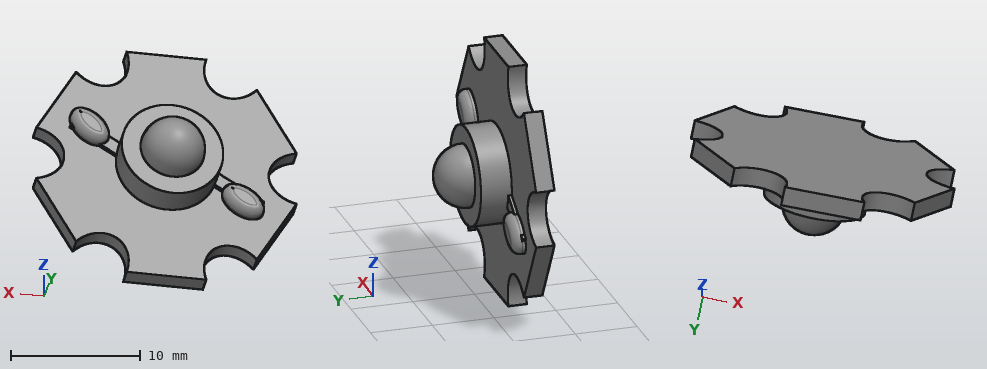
import cadquery as cq
import math

BOARD_ACROSS_FLATS = 20.0
BOARD_THICKNESS = 1.5
CORNER_COUNT = 6
NOTCH_CENTER_RADIUS = 10.99
NOTCH_RADIAL_SEMI_AXIS = 2.95
NOTCH_TANGENTIAL_SEMI_AXIS = 2.37

OVERALL_DEPTH = 6.5
BODY_RADIUS = 3.99
BODY_HEIGHT = 2.5
DOME_RADIUS = OVERALL_DEPTH - BOARD_THICKNESS - BODY_HEIGHT

LEAD_ANGLE = 31.5
LEAD_REACH = 7.85
LEAD_WIDTH = 1.06
LEAD_OFFSET = 1.23
LEAD_THICKNESS = 0.29

BEAD_LONG_SEMI_AXIS = 1.82
BEAD_SHORT_SEMI_AXIS = 1.15
BEAD_EDGE_RADIUS = 0.72
BEAD_HEIGHT = 0.98
BEADS = [(-5.97, -2.72, 35), (6.1, 2.7, 45)]

OVERLAP = 0.2


def plane_at(y):
    """Plane facing +Y whose local axes are world Z and X."""
    return cq.Workplane(cq.Plane(origin=(0, y, 0), xDir=(0, 0, 1), normal=(0, 1, 0)))


def turn_about_y(solid, angle):
    """Turn a solid about the Y axis, positive from +X towards +Z."""
    return solid.rotate((0, 0, 0), (0, 1, 0), -angle)


def board():
    corner_diameter = BOARD_ACROSS_FLATS / math.cos(math.pi / CORNER_COUNT)
    plate = plane_at(0).polygon(CORNER_COUNT, corner_diameter).extrude(BOARD_THICKNESS)
    plate = turn_about_y(plate, 180 / CORNER_COUNT)
    notch = (
        plane_at(0)
        .center(0, NOTCH_CENTER_RADIUS)
        .ellipse(NOTCH_TANGENTIAL_SEMI_AXIS, NOTCH_RADIAL_SEMI_AXIS)
        .extrude(BOARD_THICKNESS)
    )
    for corner in range(CORNER_COUNT):
        plate = plate.cut(turn_about_y(notch, corner * 360 / CORNER_COUNT))
    return plate


def lamp():
    """Round body and dome, turned as one profile about the Y axis."""
    body_top = BOARD_THICKNESS + BODY_HEIGHT
    dome_side = DOME_RADIUS * math.sqrt(0.5)
    return (
        cq.Workplane("XY")
        .moveTo(0, BOARD_THICKNESS - OVERLAP)
        .lineTo(BODY_RADIUS, BOARD_THICKNESS - OVERLAP)
        .lineTo(BODY_RADIUS, body_top)
        .lineTo(DOME_RADIUS, body_top)
        .threePointArc((dome_side, body_top + dome_side), (0, OVERALL_DEPTH))
        .close()
        .revolve(360, (0, 0, 0), (0, 1, 0))
    )


def lead(angle):
    strip = (
        plane_at(BOARD_THICKNESS - OVERLAP)
        .center(-LEAD_OFFSET, LEAD_REACH / 2)
        .rect(LEAD_WIDTH, LEAD_REACH)
        .extrude(OVERLAP + LEAD_THICKNESS)
    )
    return turn_about_y(strip, angle)


def bead(x, z, angle):
    oval = (
        plane_at(BOARD_THICKNESS - OVERLAP)
        .ellipse(BEAD_SHORT_SEMI_AXIS, BEAD_LONG_SEMI_AXIS)
        .extrude(OVERLAP + BEAD_HEIGHT)
        .faces(">Y")
        .edges()
        .fillet(BEAD_EDGE_RADIUS)
    )
    return turn_about_y(oval, angle).translate((x, 0, z))


result = board().union(lamp())
for lead_angle in (LEAD_ANGLE, LEAD_ANGLE + 180):
    result = result.union(lead(lead_angle))
for x, z, angle in BEADS:
    result = result.union(bead(x, z, angle))